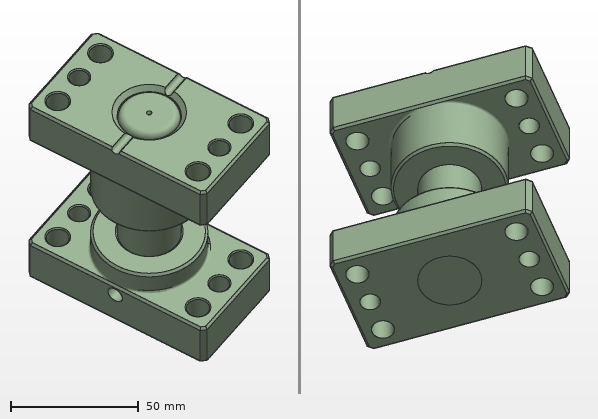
import cadquery as cq

plate_length = 84.0
plate_width = 48.0
plate_thickness = 20.1
corner_chamfer = 2.0
edge_chamfer = 0.99
overall_height = 100.3

hub_radius = 23.0
lower_hub_height = 10.0
upper_hub_height = 25.1
hub_root_fillet = 1.0

hole_x = 33.0
hole_y = 15.1
bolt_hole_radius = 4.5
dowel_hole_radius = 4.0
hole_chamfer = 0.5

pin_radius = 12.5
pin_top_gap = 0.3
pin_lead_length = 6.0
pin_tip_radius = 11.9
pin_top_fillet = 2.8
lower_bore_chamfer = 0.7
upper_bore_chamfer = 2.0

center_mark_radius = 1.0
center_mark_depth = 1.4

oil_groove_radius = 1.9

screw_hole_radius = 3.4
screw_hole_z = plate_thickness - 5.0
pin_groove_width = 7.0
pin_groove_depth = 0.7

pin_length = overall_height - pin_top_gap


def countersunk_hole(radius, chamfer, depth):
    """Tool for a hole from z = 0 up to z = depth, countersunk at 45 degrees at its top."""
    profile = [
        (0, 0),
        (radius, 0),
        (radius, depth - chamfer),
        (radius + chamfer, depth),
        (0, depth),
    ]
    return cq.Workplane("XZ").polyline(profile).close().revolve(360, (0, 0), (0, 1))


def plate_with_hub(hub_height):
    """Chamfered plate on z = 0 with a round hub on top, filleted where it meets the plate."""
    plate = (
        cq.Workplane("XY")
        .box(plate_length, plate_width, plate_thickness, centered=(True, True, False))
        .edges("|Z").chamfer(corner_chamfer)
        .faces("<Z or >Z").edges().chamfer(edge_chamfer)
    )
    hub = (
        cq.Workplane("XY")
        .circle(hub_radius)
        .extrude(plate_thickness + hub_height)
        .faces(">Z").edges().chamfer(edge_chamfer)
    )
    root_reach = hub_radius + hub_root_fillet / 2
    root_edge = cq.selectors.BoxSelector(
        (-root_reach, -root_reach, plate_thickness - hub_root_fillet / 2),
        (root_reach, root_reach, plate_thickness + hub_root_fillet / 2),
        boundingbox=True,
    )
    return plate.union(hub).edges(root_edge).edges("%CIRCLE").fillet(hub_root_fillet)


def cut_mounting_holes(plate, bottom_z):
    """Four corner bolt holes and a dowel hole midway along each end, through a plate on bottom_z."""
    bolt_hole = countersunk_hole(bolt_hole_radius, hole_chamfer, plate_thickness)
    dowel_hole = countersunk_hole(dowel_hole_radius, hole_chamfer, plate_thickness)
    for x in (-hole_x, hole_x):
        plate = plate.cut(dowel_hole.translate((x, 0, bottom_z)))
        for y in (-hole_y, hole_y):
            plate = plate.cut(bolt_hole.translate((x, y, bottom_z)))
    return plate


def make_lower_holder():
    """Lower plate and hub that hold the pin, with a locking screw hole in the -Y side."""
    bore = countersunk_hole(pin_radius, lower_bore_chamfer, plate_thickness + lower_hub_height)
    screw_hole = (
        cq.Workplane("XZ")
        .center(0, screw_hole_z)
        .circle(screw_hole_radius)
        .extrude(plate_width / 2)
    )
    holder = cut_mounting_holes(plate_with_hub(lower_hub_height), 0)
    return holder.cut(bore).cut(screw_hole)


def make_upper_guide():
    """Upper plate with its hub hanging down, sliding on the pin, with oil grooves on top."""
    guide_length = plate_thickness + upper_hub_height
    blank = (
        plate_with_hub(upper_hub_height)
        .rotate((0, 0, 0), (1, 0, 0), 180)
        .translate((0, 0, overall_height))
    )
    guide = cut_mounting_holes(blank, overall_height - plate_thickness)
    bore = (
        countersunk_hole(pin_radius, upper_bore_chamfer, guide_length)
        .translate((0, 0, overall_height - guide_length))
    )
    oil_groove = (
        cq.Workplane("XZ")
        .center(0, overall_height)
        .circle(oil_groove_radius)
        .extrude(plate_width / 2, both=True)
    )
    return guide.cut(bore).cut(oil_groove)


def make_guide_pin():
    """Pin with a tapered lead, a rounded and center-marked top, and a V-sided groove for the locking screw."""
    groove_low = screw_hole_z - pin_groove_width / 2
    groove_high = screw_hole_z + pin_groove_width / 2
    groove_radius = pin_radius - pin_groove_depth
    profile = [
        (0, 0),
        (pin_radius, 0),
        (pin_radius, groove_low),
        (groove_radius, groove_low + pin_groove_depth),
        (groove_radius, groove_high - pin_groove_depth),
        (pin_radius, groove_high),
        (pin_radius, pin_length - pin_lead_length),
        (pin_tip_radius, pin_length),
        (0, pin_length),
    ]
    pin = (
        cq.Workplane("XZ")
        .polyline(profile).close()
        .revolve(360, (0, 0), (0, 1))
        .faces(">Z").edges().fillet(pin_top_fillet)
    )
    center_mark = cq.Workplane(
        cq.Solid.makeCone(0, center_mark_radius, center_mark_depth)
    ).translate((0, 0, pin_length - center_mark_depth))
    return pin.cut(center_mark)


lower_holder = make_lower_holder()
upper_guide = make_upper_guide()
guide_pin = make_guide_pin()

result = cq.Compound.makeCompound([lower_holder.val(), upper_guide.val(), guide_pin.val()])